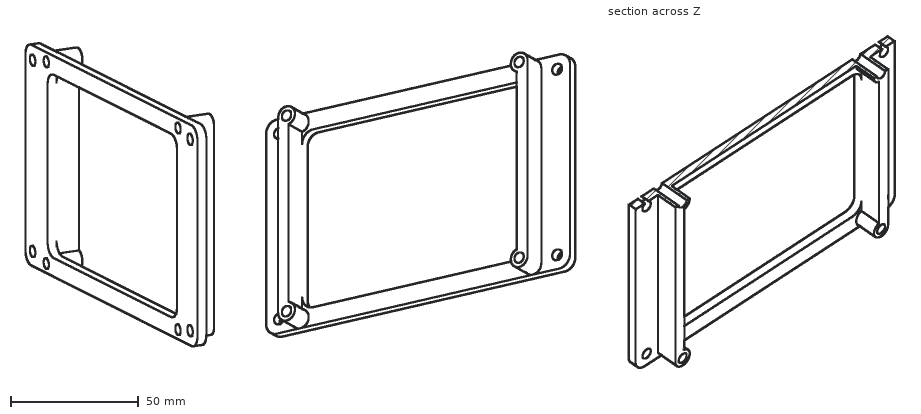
import cadquery as cq

PLATE_WIDTH = 141.14
PLATE_HEIGHT = 89.79
PLATE_CENTER_X = 0.0
PLATE_THICKNESS = 4.0
PLATE_CORNER_RADIUS = 5.0

WINDOW_WIDTH = 106.0
WINDOW_HEIGHT = 74.5
WINDOW_CORNER_RADIUS = 5.0
WINDOW_CENTER_X = 0.75

MOUNT_HOLE_DIAMETER = 4.5
MOUNT_EDGE_DISTANCE = 6.0
MOUNT_PITCH_X = PLATE_WIDTH - 2 * MOUNT_EDGE_DISTANCE
MOUNT_PITCH_Z = PLATE_HEIGHT - 2 * MOUNT_EDGE_DISTANCE

POST_DIAMETER = 7.79
POST_BORE_DIAMETER = 4.32
POST_PITCH_X = 108.0
POST_PITCH_Z = PLATE_HEIGHT - POST_DIAMETER
POST_CENTER_X = 0.64
POST_LENGTH = 10.0

TOTAL_DEPTH = PLATE_THICKNESS + POST_LENGTH


def sketch_plane(y, center_x):
    """XZ plane at depth y whose normal points toward -Y."""
    return cq.Workplane("XZ", origin=(center_x, y, 0))


def rounded_block(width, height, depth, radius, center_x):
    """Block from Y = 0 to Y = depth with its four Y edges rounded."""
    block = sketch_plane(0, center_x).rect(width, height).extrude(-depth)
    return block.edges("|Y").fillet(radius)


def cylinder_pattern(pitch_x, pitch_z, center_x, diameter, start_y, end_y):
    """Four cylinders along Y at the corners of a rectangle."""
    corners = sketch_plane(start_y, center_x).rect(pitch_x, pitch_z, forConstruction=True).vertices()
    return corners.circle(diameter / 2).extrude(start_y - end_y)


def side_wall(side):
    """Wall joining the two posts of one side (-1 left, +1 right), from the window edge
    out to the outer tangent of the posts."""
    inner_x = WINDOW_CENTER_X + side * WINDOW_WIDTH / 2
    outer_x = POST_CENTER_X + side * (POST_PITCH_X + POST_DIAMETER) / 2
    profile = sketch_plane(PLATE_THICKNESS, (inner_x + outer_x) / 2)
    return profile.rect(abs(outer_x - inner_x), POST_PITCH_Z).extrude(-POST_LENGTH)


plate = rounded_block(
    PLATE_WIDTH, PLATE_HEIGHT, PLATE_THICKNESS, PLATE_CORNER_RADIUS, PLATE_CENTER_X
)
window = rounded_block(
    WINDOW_WIDTH, WINDOW_HEIGHT, PLATE_THICKNESS, WINDOW_CORNER_RADIUS, WINDOW_CENTER_X
)
posts = cylinder_pattern(
    POST_PITCH_X, POST_PITCH_Z, POST_CENTER_X, POST_DIAMETER, PLATE_THICKNESS, TOTAL_DEPTH
)
post_bores = cylinder_pattern(
    POST_PITCH_X, POST_PITCH_Z, POST_CENTER_X, POST_BORE_DIAMETER, 0, TOTAL_DEPTH
)
mount_holes = cylinder_pattern(
    MOUNT_PITCH_X, MOUNT_PITCH_Z, PLATE_CENTER_X, MOUNT_HOLE_DIAMETER, 0, PLATE_THICKNESS
)

result = plate.cut(window).union(posts)
for side in (-1, 1):
    result = result.union(side_wall(side))
result = result.cut(post_bores).cut(mount_holes)